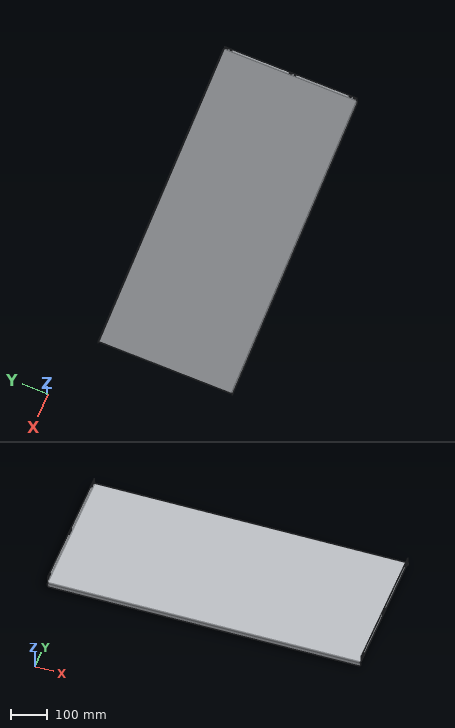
import math

import cadquery as cq

length = 906.0
width = 396.0
height = 35.0

sheet = 0.8
upstand_bend = 1.4
flange_bend = 3.0

upstand_rise = 20.0
panel_top = height - upstand_rise
panel_bottom = panel_top - sheet
flat_length = length - 2 * upstand_bend
flat_width = width - 2 * flange_bend

relief_height = 1.0
tab_top = panel_top - flange_bend - relief_height
corner_run = 4.0
corner_rise = 6.0

opening_height = 5.0
slot_width = 8.0
hole_width = 5.0
opening_z = height - 9.0
slot_hole_pitch = 13.0
outer_slot_y = 188.0


def folded_strip(plane, edge, web_outer, leg_end, direction, outer_radius, span):
    """Quarter bend and straight leg, extruded along the fold.

    edge is the outer face of the leg, web_outer the web face on the outside of the bend;
    direction is +1 for a leg folded up and -1 for one folded down.
    """
    bend_start = edge - outer_radius
    inner_radius = outer_radius - sheet
    inner_face = edge - sheet
    web_inner = web_outer + direction * sheet
    center_z = web_outer + direction * outer_radius
    diagonal = math.sqrt(0.5)

    def mid_bend(radius):
        return (bend_start + radius * diagonal, center_z - direction * radius * diagonal)

    return (
        cq.Workplane(plane)
        .moveTo(bend_start, web_outer)
        .threePointArc(mid_bend(outer_radius), (edge, center_z))
        .lineTo(edge, leg_end)
        .lineTo(inner_face, leg_end)
        .lineTo(inner_face, center_z)
        .threePointArc(mid_bend(inner_radius), (bend_start, web_inner))
        .close()
        .extrude(span / 2, both=True)
    )


def upstand_openings(y, opening_width):
    """Rectangular cutter reaching through both end upstands."""
    return cq.Workplane("XY").box(2 * length, opening_width, opening_height).translate((0, y, opening_z))


def end_upstand():
    """Upstand along the +X edge."""
    return folded_strip("XZ", length / 2, panel_bottom, height, 1, upstand_bend, flat_width)


def side_flange():
    """Flange along the +Y edge."""
    bend = folded_strip("YZ", width / 2, panel_top, tab_top, -1, flange_bend, flat_length)
    half_length = length / 2
    tab = (
        cq.Workplane("XZ", origin=(0, width / 2, 0))
        .polyline(
            [
                (-half_length, tab_top),
                (half_length, tab_top),
                (half_length, corner_rise),
                (half_length - corner_run, 0),
                (corner_run - half_length, 0),
                (-half_length, corner_rise),
            ]
        )
        .close()
        .extrude(sheet)
    )
    return bend.union(tab)


panel = cq.Workplane("XY", origin=(0, 0, panel_bottom)).rect(flat_length, flat_width).extrude(sheet)
upstand = end_upstand()
flange = side_flange()
result = panel.union(upstand).union(upstand.mirror("YZ")).union(flange).union(flange.mirror("XZ"))

for slot_y, hole_side in ((-outer_slot_y, 1), (0, -1), (outer_slot_y, -1)):
    hole_y = slot_y + hole_side * slot_hole_pitch
    result = result.cut(upstand_openings(slot_y, slot_width))
    result = result.cut(upstand_openings(hole_y, hole_width))